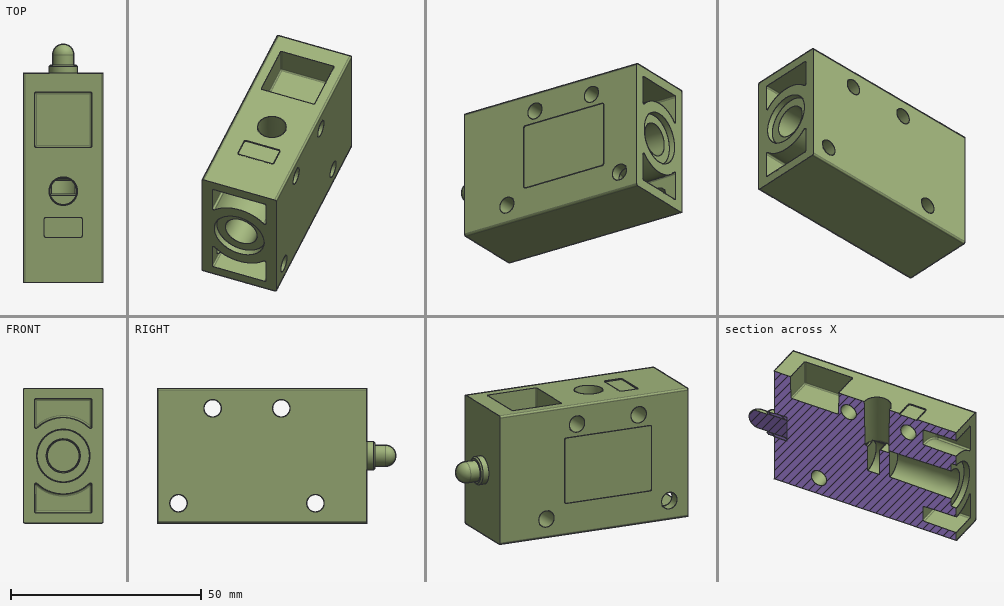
import cadquery as cq
import math


WIDTH = 21.0
HEIGHT = 35.5
LENGTH = 55.05
LONG_EDGE_RADIUS = 0.5
DRAFT_ANGLE = 1

INLET_RECESS_RADIUS = 7.0
INLET_RECESS_DEPTH = 1.55
INLET_RECESS_TAPER = 6
INLET_BORE_RADIUS = 4.5
INLET_BORE_END = 20.05

POCKET_WIDTH = 15.05
CORE_OUTER_HEIGHT = 15.05
CORE_ARC_RADIUS = 10.05
CORE_DEPTH = 10.05
CORE_EDGE_RADIUS = 0.4

TOP_POCKET_FRONT = 35.55
TOP_POCKET_BACK = 50.05
TOP_POCKET_DEPTH = 7.0
TOP_POCKET_EDGE_RADIUS = 0.3

OUTLET_Y = 24.0
OUTLET_RADIUS = 3.75
OUTLET_FLOOR_Z = 3.3
CHAMBER_RADIUS = INLET_BORE_RADIUS
CHAMBER_FRONT = 23.25
CHAMBER_BACK = 26.8
CHAMBER_BEVEL = 0.4

OUTLET_LABEL_SIZE = (10.05, 5.25)
OUTLET_LABEL_Y = 14.5
OUTLET_LABEL_DEPTH = 0.3
SIDE_LABEL_FRONT = 10.65
SIDE_LABEL_BACK = 36.1
SIDE_LABEL_HEIGHT = 18.05
SIDE_LABEL_DEPTH = 0.2
LABEL_CORNER_RADIUS = 0.5

MOUNTING_DIAMETER = 4.5
MOUNTING_Z = 12.5
UPPER_MOUNTING_Y = (14.5, 32.55)
LOWER_MOUNTING_Y = (5.5, 41.5)

BUSH_RADIUS = 3.75
BUSH_END = 57.2
BUSH_CHAMFER = 0.45
BUSH_SEAT_DEPTH = 3.75
PLUNGER_RADIUS = 2.8
PLUNGER_TIP = 62.7

TOP_Z = HEIGHT / 2
SEAT_Y = LENGTH - BUSH_SEAT_DEPTH


def rod(radius, start, end):
    """Cylinder on the main axis between two Y positions."""
    return cq.Workplane("XZ", origin=(0, start, 0)).circle(radius).extrude(start - end)


def block():
    plain = cq.Workplane("XY").box(WIDTH, LENGTH, HEIGHT).translate((0, LENGTH / 2, 0))
    return plain.edges("|Y").fillet(LONG_EDGE_RADIUS)


def inlet_port():
    front = cq.Workplane("XZ")
    recess = front.circle(INLET_RECESS_RADIUS).extrude(-INLET_RECESS_DEPTH, taper=INLET_RECESS_TAPER)
    bore = front.circle(INLET_BORE_RADIUS).extrude(-INLET_BORE_END, taper=DRAFT_ANGLE)
    return recess.union(bore)


def upper_core_pocket():
    """Pocket bounded below by an arc concentric with the inlet."""
    half_width = POCKET_WIDTH / 2
    arc_end_z = math.sqrt(CORE_ARC_RADIUS**2 - half_width**2)
    pocket = (
        cq.Workplane("XZ")
        .moveTo(-half_width, arc_end_z)
        .threePointArc((0, CORE_ARC_RADIUS), (half_width, arc_end_z))
        .lineTo(half_width, CORE_OUTER_HEIGHT)
        .lineTo(-half_width, CORE_OUTER_HEIGHT)
        .close()
        .extrude(-CORE_DEPTH, taper=DRAFT_ANGLE)
    )
    return pocket.edges("not <Y").fillet(CORE_EDGE_RADIUS)


def top_pocket():
    length = TOP_POCKET_BACK - TOP_POCKET_FRONT
    pocket = (
        cq.Workplane("XY", origin=(0, TOP_POCKET_FRONT + length / 2, TOP_Z))
        .rect(POCKET_WIDTH, length)
        .extrude(-TOP_POCKET_DEPTH, taper=DRAFT_ANGLE)
    )
    return pocket.edges("not >Z").fillet(TOP_POCKET_EDGE_RADIUS)


def outlet_port():
    """Flat-bottomed port, with a bevelled groove across its floor into the round valve chamber."""
    port_floor_z = OUTLET_FLOOR_Z + CHAMBER_BEVEL
    port_depth = TOP_Z - port_floor_z
    port_floor_radius = OUTLET_RADIUS - port_depth * math.tan(math.radians(DRAFT_ANGLE))
    port = (
        cq.Workplane("XY", origin=(0, OUTLET_Y, TOP_Z))
        .circle(OUTLET_RADIUS)
        .extrude(-port_depth, taper=DRAFT_ANGLE)
    )
    groove = (
        cq.Workplane("YZ")
        .polyline([
            (CHAMBER_FRONT, OUTLET_FLOOR_Z),
            (CHAMBER_BACK, OUTLET_FLOOR_Z),
            (CHAMBER_BACK + CHAMBER_BEVEL, port_floor_z),
            (CHAMBER_FRONT - CHAMBER_BEVEL, port_floor_z),
        ])
        .close()
        .extrude(port_floor_radius, both=True)
    )
    port_outline = (
        cq.Workplane("XY", origin=(0, OUTLET_Y, OUTLET_FLOOR_Z))
        .circle(port_floor_radius)
        .extrude(CHAMBER_BEVEL)
    )
    chamber = rod(CHAMBER_RADIUS, CHAMBER_FRONT, CHAMBER_BACK)
    return port.union(groove.intersect(port_outline)).union(chamber)


def outlet_label():
    recess = (
        cq.Workplane("XY", origin=(0, OUTLET_LABEL_Y, TOP_Z))
        .rect(*OUTLET_LABEL_SIZE)
        .extrude(-OUTLET_LABEL_DEPTH)
    )
    return recess.edges("|Z").fillet(LABEL_CORNER_RADIUS)


def side_label():
    length = SIDE_LABEL_BACK - SIDE_LABEL_FRONT
    recess = (
        cq.Workplane("YZ", origin=(-WIDTH / 2, SIDE_LABEL_FRONT + length / 2, 0))
        .rect(length, SIDE_LABEL_HEIGHT)
        .extrude(SIDE_LABEL_DEPTH)
    )
    return recess.edges("|X").fillet(LABEL_CORNER_RADIUS)


def mounting_holes():
    upper = [(y, MOUNTING_Z) for y in UPPER_MOUNTING_Y]
    lower = [(y, -MOUNTING_Z) for y in LOWER_MOUNTING_Y]
    return (
        cq.Workplane("YZ")
        .pushPoints(upper + lower)
        .circle(MOUNTING_DIAMETER / 2)
        .extrude(WIDTH, both=True)
    )


def make_housing():
    housing = block()
    upper_core = upper_core_pocket()
    cuts = [
        inlet_port(),
        upper_core,
        upper_core.mirror("XY"),
        top_pocket(),
        outlet_port(),
        outlet_label(),
        side_label(),
        mounting_holes(),
        rod(BUSH_RADIUS, SEAT_Y, LENGTH),
    ]
    for cut in cuts:
        housing = housing.cut(cut)
    return housing


def make_bush():
    bush = rod(BUSH_RADIUS, SEAT_Y, BUSH_END).faces(">Y").edges().chamfer(BUSH_CHAMFER)
    return bush.cut(rod(PLUNGER_RADIUS, SEAT_Y, BUSH_END))


def make_plunger():
    """Round rod with a hemispherical tip."""
    dome_base = PLUNGER_TIP - PLUNGER_RADIUS
    dome = cq.Workplane("XY").sphere(PLUNGER_RADIUS).translate((0, dome_base, 0))
    return rod(PLUNGER_RADIUS, SEAT_Y, dome_base).union(dome)


housing = make_housing()
bush = make_bush()
plunger = make_plunger()

result = cq.Compound.makeCompound([housing.val(), bush.val(), plunger.val()])